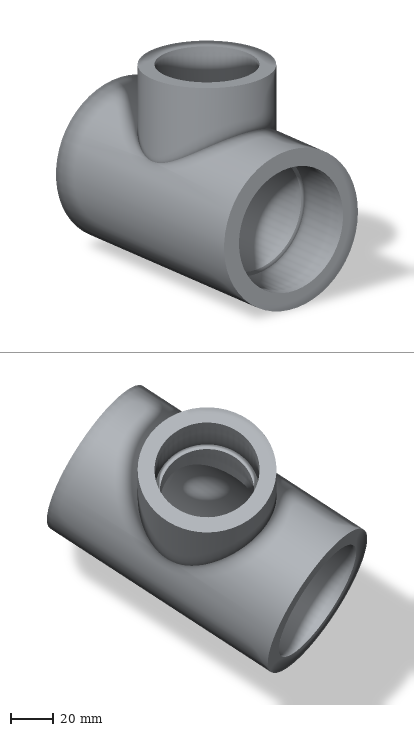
import cadquery as cq

run_length = 129.5
run_outer_diameter = 81.0
run_socket_diameter = 63.0
run_bore_diameter = 58.7
run_socket_depth = 29.5

overall_height = 105.5
branch_outer_diameter = 66.0
branch_socket_diameter = 50.0
branch_bore_diameter = 45.0
branch_socket_depth = 24.0
branch_top = overall_height - run_outer_diameter / 2


def run_cylinder(diameter, start_x, length):
    """Cylinder on the run axis, extending toward +X from start_x."""
    return cq.Workplane("YZ", origin=(start_x, 0, 0)).circle(diameter / 2).extrude(length)


def branch_cylinder(diameter, length):
    """Cylinder on the branch axis, extending down from the branch mouth."""
    return cq.Workplane("XY", origin=(0, 0, branch_top)).circle(diameter / 2).extrude(-length)


body = run_cylinder(run_outer_diameter, -run_length / 2, run_length)
body = body.union(branch_cylinder(branch_outer_diameter, branch_top))

body = body.cut(run_cylinder(run_bore_diameter, -run_length / 2, run_length))
for socket_start in (-run_length / 2, run_length / 2 - run_socket_depth):
    body = body.cut(run_cylinder(run_socket_diameter, socket_start, run_socket_depth))

body = body.cut(branch_cylinder(branch_bore_diameter, branch_top))
body = body.cut(branch_cylinder(branch_socket_diameter, branch_socket_depth))

result = body